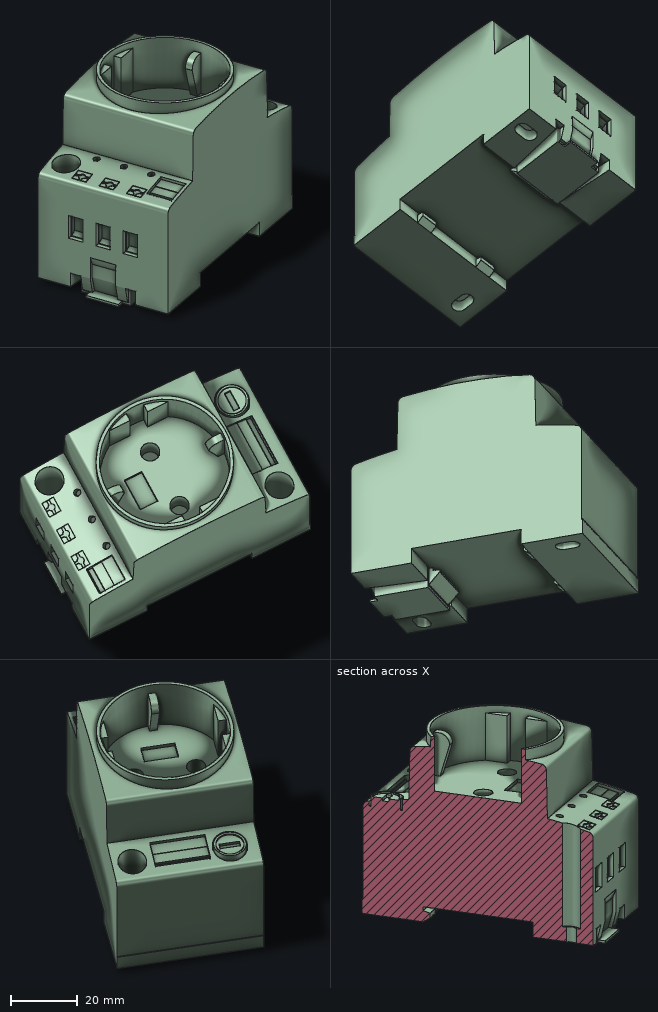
import cadquery as cq
import math

WIDTH = 45.0
HALF_LENGTH = 37.3
CROWN_RADIUS = 160.8
TOP_CROWN_Z = 57.15
SHOULDER_CROWN_Z = 40.2
BLOCK_TOP_HALF = 22.1
BLOCK_BASE_HALF = 22.5
EDGE_RADIUS = 2.0
HEEL_STEP = 0.3
RAIL_HALF = 17.75
RAIL_DEPTH = 4.8

RIM_Z = 59.8
RIM_RADIUS = 20.6
WELL_RADIUS = 19.55
WELL_DEPTH = 17.35
WELL_FLOOR_Z = RIM_Z - WELL_DEPTH
PIN_RADIUS = 2.9
PIN_SPACING = 19.0
PIN_DEPTH = 9.05
SHUTTER_WIDTH = 10.4
SHUTTER_LENGTH = 5.8
SHUTTER_Y = -8.0
SHUTTER_DEPTH = 1.1
RIB_FACE_X = 16.8
RIB_HALF_GAP = 2.95
RIB_HALF_SPAN = 10.6
RIB_HEIGHT = 15.1
EARTH_WIDTH = 2.4
EARTH_TIP_Y = 14.3
EARTH_FOOT_Y = 17.35
EARTH_BEND_HEIGHT = 10.35
EARTH_NOSE_RADIUS = 3.5

SCREW_HEAD_RADIUS = 4.3
SCREW_SEAT_Z = RAIL_DEPTH
SLOT_LENGTH = 7.55
SLOT_WIDTH = 4.5
REAR_SCREW = (16.3, 30.3)
FRONT_SCREW = (-16.8, -30.2)

FUSE_X, FUSE_Y = -13.65, 29.9
FUSE_RADIUS = 4.9
FUSE_WELL_RADIUS = 5.3
FUSE_DISH_RADIUS = 4.2
FUSE_TOP_Z = 38.35
FUSE_WELL_FLOOR_Z = 34.7
FUSE_DISH_DEPTH = 0.45
FUSE_SLOT_LENGTH = 6.2
FUSE_SLOT_WIDTH = 1.9
FUSE_SLOT_DEPTH = 0.9

WINDOW_STRIPS = [(24.5, 0.9), (28.1, 1.05), (31.2, 2.0), (32.7, 1.2)]
WINDOW_END = 33.1
REAR_WINDOW_X = (-7.1, 9.7)
FRONT_WINDOW_X = (12.75, 21.35)

TERMINAL_PITCH = 9.4
TERMINAL_XS = (-TERMINAL_PITCH, 0, TERMINAL_PITCH)
SCREW_PLATE_WIDTH = 4.8
SCREW_PLATE_LENGTH = 3.9
SCREW_PLATE_Y = -33.4
SCREW_PLATE_DEPTH = 0.15
SCREW_CROSS_DEPTH = 0.5
SCREW_CROSS_WIDTH = 0.8
SCREW_HUB_RADIUS = 1.05
PROBE_RADIUS = 1.05
PROBE_Y = -24.7
PROBE_TILT = 20.0
PROBE_DEPTH = 2.3
ENTRY_WIDTH = 4.9
ENTRY_BOTTOM_Z, ENTRY_TOP_Z = 16.5, 24.3
ENTRY_STEP = 0.2
ENTRY_BACK_BOTTOM_Z, ENTRY_BACK_TOP_Z = 17.75, 22.95
ENTRY_MOUTH_DEPTH = 1.5
ENTRY_DEPTH = 3.25

BAY_HALF = 11.25
BAY_INNER_HALF = 9.5
BAY_HEIGHT = 4.7
CLIP_HALF = 8.5
CLIP_WALL = 0.75
CLIP_BOTTOM_Z = -1.9
CLIP_PLATE = 0.8
CLIP_FRONT_Y = -35.4
CLIP_REAR_Y = -18.0
CORE_HALF = CLIP_HALF - CLIP_WALL
CORE_BOTTOM_Z = -0.6
CORE_FRONT_Y = -36.0
CLIP_HOOK_TIP_Y, CLIP_HOOK_NECK_Y = -14.5, -16.7
CLIP_HOOK_TIP_BOTTOM_Z, CLIP_HOOK_TIP_TOP_Z = 3.0, 3.6
CLIP_HOOK_NECK_Z = 3.9
TAB_HALF = 5.65
TAB_FRONT_Y = -37.9
FIXED_HOOK_INNER_X, FIXED_HOOK_OUTER_X = 9.4, 15.1
FIXED_HOOK_TIP_Y = 15.55
FIXED_HOOK_TIP_BOTTOM_Z, FIXED_HOOK_TIP_TOP_Z = 1.5, 3.2
FIXED_HOOK_TOP_Z = 3.8
GRIP_HALF = 4.4
GRIP_TOP_Z, GRIP_STEP_Z = 11.9, 9.2
GRIP_DEPTH = 1.05
GRIP_FOOT_DEPTH = 2.6


def crown_z(y, peak):
    """Height at y of a crowned face whose highest point is peak."""
    return peak - CROWN_RADIUS + math.sqrt(CROWN_RADIUS**2 - y**2)


def shoulder_z(y):
    return crown_z(y, SHOULDER_CROWN_Z)


def bar(points, x_min, x_max):
    """Prism along X with the given (y, z) outline."""
    return cq.Workplane("YZ", origin=(x_min, 0, 0)).polyline(points).close().extrude(x_max - x_min)


def cylinder(x, y, radius, z_min, z_max):
    return cq.Workplane("XY", origin=(x, y, z_min)).circle(radius).extrude(z_max - z_min)


def block(x_size, y_size, x, y, z_min, z_max):
    return cq.Workplane("XY", origin=(x, y, z_min)).rect(x_size, y_size).extrude(z_max - z_min)


def shoulder_plane(y):
    """Plane touching the shoulder at y, with its normal pointing outwards."""
    centre_z = SHOULDER_CROWN_Z - CROWN_RADIUS
    z = shoulder_z(y)
    return cq.Plane(origin=(0, y, z), xDir=(1, 0, 0), normal=(0, y, z - centre_z))


def make_housing():
    block_edge_z = crown_z(BLOCK_TOP_HALF, TOP_CROWN_Z)
    base_z = shoulder_z(BLOCK_BASE_HALF)
    outer_z = shoulder_z(HALF_LENGTH)
    mid_y = (BLOCK_BASE_HALF + HALF_LENGTH) / 2
    mid_z = shoulder_z(mid_y)
    heel_y = HALF_LENGTH + HEEL_STEP
    housing = (
        cq.Workplane("YZ", origin=(-WIDTH / 2, 0, 0))
        .moveTo(-HALF_LENGTH, 0)
        .lineTo(-HALF_LENGTH, outer_z)
        .threePointArc((-mid_y, mid_z), (-BLOCK_BASE_HALF, base_z))
        .lineTo(-BLOCK_TOP_HALF, block_edge_z)
        .threePointArc((0, TOP_CROWN_Z), (BLOCK_TOP_HALF, block_edge_z))
        .lineTo(BLOCK_BASE_HALF, base_z)
        .threePointArc((mid_y, mid_z), (HALF_LENGTH, outer_z))
        .lineTo(HALF_LENGTH, RAIL_DEPTH)
        .lineTo(heel_y, RAIL_DEPTH)
        .lineTo(heel_y, 0)
        .lineTo(RAIL_HALF, 0)
        .lineTo(RAIL_HALF, RAIL_DEPTH)
        .lineTo(-RAIL_HALF, RAIL_DEPTH)
        .lineTo(-RAIL_HALF, 0)
        .close()
        .extrude(WIDTH)
    )
    for y, z in ((BLOCK_TOP_HALF, block_edge_z), (HALF_LENGTH, outer_z)):
        for side in (-1, 1):
            corner = cq.selectors.NearestToPointSelector((0, side * y, z))
            housing = housing.edges("|X").edges(corner).fillet(EDGE_RADIUS)
    return housing


def make_earth_contact():
    """Sprung earth contact on the +Y wall of the well."""
    nose_y = EARTH_TIP_Y + EARTH_NOSE_RADIUS
    bend_z = WELL_FLOOR_Z + EARTH_BEND_HEIGHT
    top_z = bend_z + EARTH_NOSE_RADIUS
    diagonal = EARTH_NOSE_RADIUS * math.sqrt(0.5)
    wall_y = (WELL_RADIUS + RIM_RADIUS) / 2
    return (
        cq.Workplane("YZ", origin=(-EARTH_WIDTH / 2, 0, 0))
        .moveTo(wall_y, WELL_FLOOR_Z)
        .lineTo(EARTH_FOOT_Y, WELL_FLOOR_Z)
        .lineTo(EARTH_TIP_Y, bend_z)
        .threePointArc((nose_y - diagonal, bend_z + diagonal), (nose_y, top_z))
        .lineTo(wall_y, top_z)
        .close()
        .extrude(EARTH_WIDTH)
    )


def add_socket(body):
    body = body.union(cylinder(0, 0, RIM_RADIUS, WELL_FLOOR_Z, RIM_Z))
    well = cylinder(0, 0, WELL_RADIUS, WELL_FLOOR_Z, RIM_Z)
    rib_depth = RIM_RADIUS - RIB_FACE_X
    rib_length = RIB_HALF_SPAN - RIB_HALF_GAP
    rib_top_z = WELL_FLOOR_Z + RIB_HEIGHT
    for x_side in (-1, 1):
        for y_side in (-1, 1):
            rib_x = x_side * (RIB_FACE_X + rib_depth / 2)
            rib_y = y_side * (RIB_HALF_GAP + rib_length / 2)
            well = well.cut(block(rib_depth, rib_length, rib_x, rib_y, WELL_FLOOR_Z, rib_top_z))
    contact = make_earth_contact()
    well = well.cut(contact).cut(contact.mirror("XZ"))
    body = body.cut(well)
    for side in (-1, 1):
        pin_x = side * PIN_SPACING / 2
        body = body.cut(cylinder(pin_x, 0, PIN_RADIUS, WELL_FLOOR_Z - PIN_DEPTH, WELL_FLOOR_Z))
    shutter_z = WELL_FLOOR_Z - SHUTTER_DEPTH
    return body.cut(block(SHUTTER_WIDTH, SHUTTER_LENGTH, 0, SHUTTER_Y, shutter_z, WELL_FLOOR_Z))


def cut_screw_hole(body, position, slot_angle):
    x, y = position
    head = cylinder(x, y, SCREW_HEAD_RADIUS, SCREW_SEAT_Z, SHOULDER_CROWN_Z)
    slot = cq.Workplane("XY", origin=(x, y, 0)).slot2D(SLOT_LENGTH, SLOT_WIDTH, slot_angle)
    return body.cut(head).cut(slot.extrude(SCREW_SEAT_Z))


def add_fuse_cap(body):
    body = body.cut(cylinder(FUSE_X, FUSE_Y, FUSE_WELL_RADIUS, FUSE_WELL_FLOOR_Z, SHOULDER_CROWN_Z))
    body = body.union(cylinder(FUSE_X, FUSE_Y, FUSE_RADIUS, FUSE_WELL_FLOOR_Z, FUSE_TOP_Z))
    dish_z = FUSE_TOP_Z - FUSE_DISH_DEPTH
    body = body.cut(cylinder(FUSE_X, FUSE_Y, FUSE_DISH_RADIUS, dish_z, FUSE_TOP_Z))
    slot_z = dish_z - FUSE_SLOT_DEPTH
    return body.cut(block(FUSE_SLOT_LENGTH, FUSE_SLOT_WIDTH, FUSE_X, FUSE_Y, slot_z, dish_z))


def cut_label_window(body, x_range, side):
    """Window whose floor strips follow the shoulder at different depths."""
    ends = [start for start, _ in WINDOW_STRIPS[1:]] + [WINDOW_END]
    for (start, depth), end in zip(WINDOW_STRIPS, ends):
        outline = [
            (side * start, shoulder_z(start) - depth),
            (side * end, shoulder_z(end) - depth),
            (side * end, SHOULDER_CROWN_Z),
            (side * start, SHOULDER_CROWN_Z),
        ]
        body = body.cut(bar(outline, *x_range))
    return body


def cut_terminal_screw(body, x):
    """Shallow plate in the front shoulder with a T slot and a round hub."""
    surface = shoulder_plane(SCREW_PLATE_Y)
    half_length = SCREW_PLATE_LENGTH / 2

    def recess(depth):
        return cq.Workplane(surface).workplane(offset=-depth).center(x, 0)

    plate = recess(SCREW_PLATE_DEPTH).rect(SCREW_PLATE_WIDTH, SCREW_PLATE_LENGTH)
    arms = recess(SCREW_CROSS_DEPTH).rect(SCREW_PLATE_WIDTH, SCREW_CROSS_WIDTH)
    stem = recess(SCREW_CROSS_DEPTH).center(0, -half_length / 2).rect(SCREW_CROSS_WIDTH, half_length)
    hub = recess(SCREW_CROSS_DEPTH).circle(SCREW_HUB_RADIUS)
    for shape in (plate, arms, stem, hub):
        body = body.cut(shape.extrude(2 * SCREW_CROSS_DEPTH))
    return body


def cut_probe_hole(body, x):
    tilt = math.radians(PROBE_TILT)
    axis = (0, -math.sin(tilt), math.cos(tilt))
    plane = cq.Plane(origin=(x, PROBE_Y, shoulder_z(PROBE_Y)), xDir=(1, 0, 0), normal=axis)
    drill = cq.Workplane(plane).workplane(offset=-PROBE_DEPTH).circle(PROBE_RADIUS)
    return body.cut(drill.extrude(2 * PROBE_DEPTH))


def cut_wire_entry(body, x):
    """Wire entry in the front face: a straight mouth, then a funnel to a flat back."""
    step_y = -HALF_LENGTH + ENTRY_MOUTH_DEPTH
    end_y = -HALF_LENGTH + ENTRY_DEPTH
    mouth = [
        (-HALF_LENGTH, ENTRY_BOTTOM_Z),
        (step_y, ENTRY_BOTTOM_Z),
        (step_y, ENTRY_TOP_Z),
        (-HALF_LENGTH, ENTRY_TOP_Z),
    ]
    funnel = [
        (step_y, ENTRY_BOTTOM_Z + ENTRY_STEP),
        (end_y, ENTRY_BACK_BOTTOM_Z),
        (end_y, ENTRY_BACK_TOP_Z),
        (step_y, ENTRY_TOP_Z - ENTRY_STEP),
    ]
    mouth_half = ENTRY_WIDTH / 2
    funnel_half = mouth_half - ENTRY_STEP
    body = body.cut(bar(mouth, x - mouth_half, x + mouth_half))
    return body.cut(bar(funnel, x - funnel_half, x + funnel_half))


def cut_clip_bay(body):
    """Tapered bay through the front foot, from the front face to the rail notch."""
    bay = (
        cq.Workplane("XY")
        .polyline([
            (-BAY_HALF, -HALF_LENGTH),
            (BAY_HALF, -HALF_LENGTH),
            (BAY_INNER_HALF, -RAIL_HALF),
            (-BAY_INNER_HALF, -RAIL_HALF),
        ])
        .close()
        .extrude(BAY_HEIGHT)
    )
    return body.cut(bay)


def make_clip():
    """Rail clip: a tray with side walls around a core that ends in the rail hook."""
    plate_top_z = CLIP_BOTTOM_Z + CLIP_PLATE
    clip_length = CLIP_REAR_Y - CLIP_FRONT_Y
    clip_y = (CLIP_REAR_Y + CLIP_FRONT_Y) / 2
    tab_length = CLIP_REAR_Y - TAB_FRONT_Y
    tab_y = (CLIP_REAR_Y + TAB_FRONT_Y) / 2
    clip = block(2 * CLIP_HALF, clip_length, 0, clip_y, CLIP_BOTTOM_Z, plate_top_z)
    clip = clip.union(block(2 * TAB_HALF, tab_length, 0, tab_y, CLIP_BOTTOM_Z, plate_top_z))
    for side in (-1, 1):
        wall_x = side * (CLIP_HALF - CLIP_WALL / 2)
        clip = clip.union(block(CLIP_WALL, clip_length, wall_x, clip_y, CLIP_BOTTOM_Z, BAY_HEIGHT))
    core_outline = [
        (-HALF_LENGTH, BAY_HEIGHT),
        (CORE_FRONT_Y, CORE_BOTTOM_Z),
        (CLIP_REAR_Y, CORE_BOTTOM_Z),
        (CLIP_HOOK_TIP_Y, CLIP_HOOK_TIP_BOTTOM_Z),
        (CLIP_HOOK_TIP_Y, CLIP_HOOK_TIP_TOP_Z),
        (CLIP_HOOK_NECK_Y, CLIP_HOOK_NECK_Z),
        (CLIP_HOOK_NECK_Y, RAIL_DEPTH),
        (-RAIL_HALF, RAIL_DEPTH),
        (-RAIL_HALF, BAY_HEIGHT),
    ]
    return clip.union(bar(core_outline, -CORE_HALF, CORE_HALF))


def cut_grip(body):
    step_y = -HALF_LENGTH + GRIP_DEPTH
    foot_y = -HALF_LENGTH + GRIP_FOOT_DEPTH
    outline = [
        (-HALF_LENGTH, GRIP_TOP_Z),
        (step_y, GRIP_STEP_Z),
        (step_y, BAY_HEIGHT),
        (foot_y, CORE_BOTTOM_Z),
        (-HALF_LENGTH, CORE_BOTTOM_Z),
    ]
    return body.cut(bar(outline, -GRIP_HALF, GRIP_HALF))


def add_fixed_hooks(body):
    """Pair of fixed rail hooks on the rear foot."""
    outline = [
        (RAIL_HALF, 0),
        (FIXED_HOOK_TIP_Y, FIXED_HOOK_TIP_BOTTOM_Z),
        (FIXED_HOOK_TIP_Y, FIXED_HOOK_TIP_TOP_Z),
        (RAIL_HALF, FIXED_HOOK_TOP_Z),
    ]
    hook = bar(outline, FIXED_HOOK_INNER_X, FIXED_HOOK_OUTER_X)
    return body.union(hook).union(hook.mirror("YZ"))


result = add_socket(make_housing())
result = cut_screw_hole(result, REAR_SCREW, 90)
result = cut_screw_hole(result, FRONT_SCREW, 0)
result = add_fuse_cap(result)
result = cut_label_window(result, REAR_WINDOW_X, 1)
result = cut_label_window(result, FRONT_WINDOW_X, -1)
for terminal_x in TERMINAL_XS:
    result = cut_terminal_screw(result, terminal_x)
    result = cut_probe_hole(result, terminal_x)
    result = cut_wire_entry(result, terminal_x)
result = cut_clip_bay(result)
result = result.union(make_clip())
result = cut_grip(result)
result = add_fixed_hooks(result)